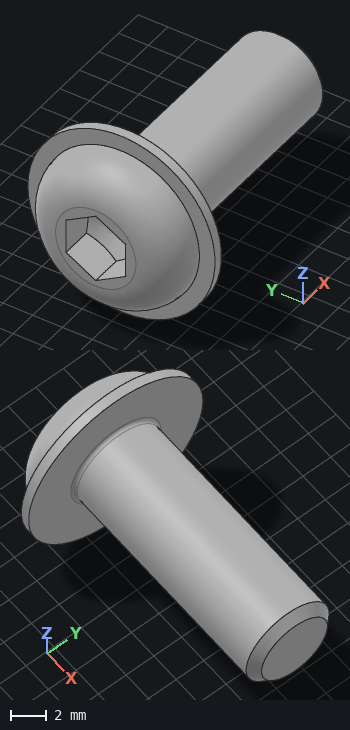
import cadquery as cq
import math

total_length = 19.3
head_height = 3.3
head_diameter = 10.5
head_face_diameter = 5.4
flange_diameter = 12.6
flange_thickness = 0.68
shank_diameter = 6.0
tip_chamfer = 0.62
neck_fillet = 0.25
socket_across_flats = 4.0
socket_depth = 2.08
socket_floor_angle = 120.0

head_radius = head_diameter / 2
face_radius = head_face_diameter / 2
flange_radius = flange_diameter / 2
shank_radius = shank_diameter / 2
dome_height = head_height - flange_thickness
corner_radius = socket_across_flats / math.sqrt(3)


def screw_body():
    """Revolve the half profile of dome, flange and shank about X."""
    dome_rise = head_radius - face_radius
    dome_middle = (
        dome_height * (1 - math.sqrt(0.5)),
        face_radius + dome_rise * math.sqrt(0.5),
    )
    fillet_middle = (
        head_height + neck_fillet * (1 - math.sqrt(0.5)),
        shank_radius + neck_fillet * (1 - math.sqrt(0.5)),
    )
    profile = (
        cq.Workplane("XY")
        .lineTo(0, face_radius)
        .threePointArc(dome_middle, (dome_height, head_radius))
        .lineTo(dome_height, flange_radius)
        .lineTo(head_height, flange_radius)
        .lineTo(head_height, shank_radius + neck_fillet)
        .threePointArc(fillet_middle, (head_height + neck_fillet, shank_radius))
        .lineTo(total_length - tip_chamfer, shank_radius)
        .lineTo(total_length, shank_radius - tip_chamfer)
        .lineTo(total_length, 0)
        .close()
    )
    return profile.revolve(360, (0, 0, 0), (1, 0, 0))


def hex_socket():
    """Hexagonal recess, corners up and down, ending in a conical floor."""
    corners = [
        (corner_radius * math.sin(math.radians(a)), corner_radius * math.cos(math.radians(a)))
        for a in range(0, 360, 60)
    ]
    cone_height = corner_radius / math.tan(math.radians(socket_floor_angle / 2))
    prism = cq.Workplane("YZ").polyline(corners).close().extrude(socket_depth + cone_height)
    envelope = (
        cq.Workplane("XY")
        .lineTo(0, corner_radius)
        .lineTo(socket_depth, corner_radius)
        .lineTo(socket_depth + cone_height, 0)
        .close()
        .revolve(360, (0, 0, 0), (1, 0, 0))
    )
    return prism.intersect(envelope)


result = screw_body().cut(hex_socket())